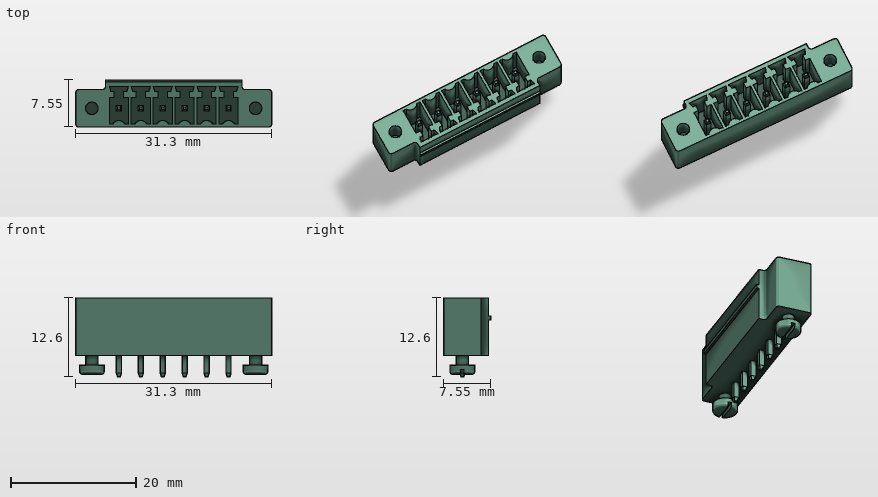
import cadquery as cq


pole_count = 6
pitch = 3.5
pin_x = [(i - (pole_count - 1) / 2) * pitch for i in range(pole_count)]

length = 31.3
height = 9.2
front_y = -3.0
flange_back_y = 3.0
back_y = 4.2
center_length = 21.8
corner_radius = 0.5

rib_depth = 0.35
rib_height = 0.7
rib_top_below_rim = 2.85

floor_thickness = 1.5
divider_thickness = 0.45
front_wall = 0.5
cavity_width = pitch - divider_thickness
cavity_front_y = front_y + front_wall
neck_front_y = 1.75
neck_back_y = 2.7
cavity_back_y = 3.5
neck_width = 1.5
dovetail_narrow_width = 2.55
key_radius = 1.1
key_rise = 0.55

pin_side = 0.85
pin_tip_side = 0.45
pin_taper = 0.6
pin_bottom_z = -3.4
pin_top_below_rim = 1.4
pin_top_z = height - pin_top_below_rim

screw_x = 13.05
shank_diameter = 2.0
shank_exposed = 1.5
head_diameter = 4.0
head_height = 1.5
head_fillet = 0.5
drive_slot_width = 0.6
drive_slot_depth = 0.8
flange_hole_diameter = 2.0
flange_hole_depth = 5.0


def box_between(x_range, y_range, z_range):
    """Axis-aligned block spanning the given ranges."""
    sizes = [high - low for low, high in (x_range, y_range, z_range)]
    corner = (x_range[0], y_range[0], z_range[0])
    return cq.Workplane("XY").box(*sizes, centered=False).translate(corner)


def make_housing():
    """Flanged block with a raised back wall; all upright edges rounded except the back wall corners."""
    half = length / 2
    center_half = center_length / 2
    outline = [
        (-half, front_y),
        (half, front_y),
        (half, flange_back_y),
        (center_half, flange_back_y),
        (center_half, back_y),
        (-center_half, back_y),
        (-center_half, flange_back_y),
        (-half, flange_back_y),
    ]
    block = cq.Workplane("XY").polyline(outline).close().extrude(height)
    return block.edges("|Z").edges("not >Y").fillet(corner_radius)


def make_rib():
    """Horizontal snap rib along the whole back wall."""
    rib_top_z = height - rib_top_below_rim
    return box_between(
        (-center_length / 2, center_length / 2),
        (back_y, back_y + rib_depth),
        (rib_top_z - rib_height, rib_top_z),
    )


def make_cavity():
    """Plug cavity with a necked dovetail at the back and a round key at the front."""
    half = cavity_width / 2
    neck_half = neck_width / 2
    narrow_half = dovetail_narrow_width / 2
    depth = height - floor_thickness
    outline = [
        (-half, cavity_front_y),
        (half, cavity_front_y),
        (half, neck_front_y),
        (neck_half, neck_front_y),
        (neck_half, neck_back_y),
        (narrow_half, neck_back_y),
        (half, cavity_back_y),
        (-half, cavity_back_y),
        (-narrow_half, neck_back_y),
        (-neck_half, neck_back_y),
        (-neck_half, neck_front_y),
        (-half, neck_front_y),
    ]
    base = cq.Workplane("XY").workplane(offset=floor_thickness)
    pocket = base.polyline(outline).close().extrude(depth)
    key_center_y = cavity_front_y + key_rise - key_radius
    key = base.center(0, key_center_y).circle(key_radius).extrude(depth)
    return pocket.cut(key)


def make_pin():
    """Square pin tapered at both ends."""
    shaft_bottom_z = pin_bottom_z + pin_taper
    shaft_top_z = pin_top_z - pin_taper
    shaft = (
        cq.Workplane("XY").workplane(offset=shaft_bottom_z)
        .rect(pin_side, pin_side).extrude(shaft_top_z - shaft_bottom_z)
    )
    for start_z, tip_z in ((shaft_bottom_z, pin_bottom_z), (shaft_top_z, pin_top_z)):
        tip = (
            cq.Workplane("XY").workplane(offset=start_z).rect(pin_side, pin_side)
            .workplane(offset=tip_z - start_z).rect(pin_tip_side, pin_tip_side).loft()
        )
        shaft = shaft.union(tip)
    return shaft


def make_screw():
    """Exposed screw shank with a rounded, slotted head below the housing."""
    head_bottom_z = -shank_exposed - head_height
    shank = cq.Workplane("XY").circle(shank_diameter / 2).extrude(-shank_exposed)
    head = (
        cq.Workplane("XY").workplane(offset=head_bottom_z)
        .circle(head_diameter / 2).extrude(head_height)
        .faces("<Z").edges().fillet(head_fillet)
    )
    drive_slot = box_between(
        (-head_diameter / 2, head_diameter / 2),
        (-drive_slot_width / 2, drive_slot_width / 2),
        (head_bottom_z, head_bottom_z + drive_slot_depth),
    )
    return shank.union(head.cut(drive_slot))


def make_flange_hole():
    """Blind round hole in the top of a flange."""
    rim = cq.Workplane("XY").workplane(offset=height)
    return rim.circle(flange_hole_diameter / 2).extrude(-flange_hole_depth)


result = make_housing().union(make_rib())
for x in pin_x:
    result = result.cut(make_cavity().translate((x, 0, 0)))
    result = result.union(make_pin().translate((x, 0, 0)))
for x in (-screw_x, screw_x):
    result = result.cut(make_flange_hole().translate((x, 0, 0)))
    result = result.union(make_screw().translate((x, 0, 0)))